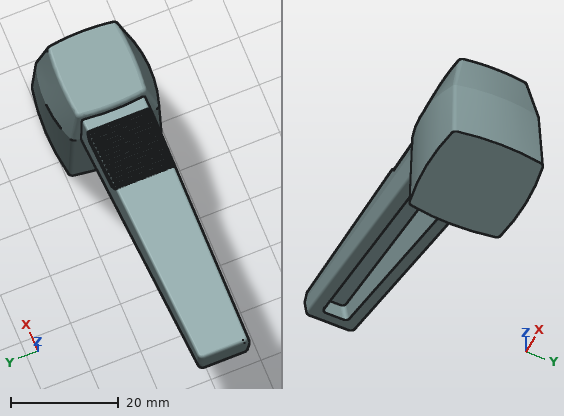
import cadquery as cq
import math

BASE_RING = {
    "left": -9.6, "left_mid": -10.5, "right": 9.6, "right_mid": 10.45,
    "side": 9.25, "side_mid": 10.26,
}
PARTING_RING = {
    "left": -9.4, "left_mid": -10.2, "right": 8.8, "right_mid": 10.0,
    "side": 8.7, "side_mid": 10.28,
}
TOP_RING = {
    "left": -7.6, "left_mid": -8.15, "right": 7.5, "right_mid": 8.05,
    "side": 6.9, "side_mid": 7.35,
}
PARTING_Z = 17.22
PARTING_SLOPE = -0.2525
TOP_Z = 26.2
TOP_SLOPE = -0.053
HUB_CORNER_RADIUS = 0.9
HUB_TOP_RADIUS = 0.8

TIP_X = -62.95
LEVER_END_X = -5.0
TIP_TOP_Z = 36.23
TIP_BOTTOM_Z = 30.15
LEVER_TOP_SLOPE = -0.195
LEVER_BOTTOM_SLOPE = -0.2887
TIP_HALF_WIDTH = 5.32
LEVER_WIDTH_SLOPE = 0.0335
LEVER_DRAFT = math.tan(math.radians(8))
TIP_CORNER_RADIUS = 1.0
LEVER_EDGE_RADIUS = 0.5

POCKET_START_X = -60.4
POCKET_END_X = -10.35
POCKET_ROOF = 2.3
POCKET_START_HALF_WIDTH = 2.6
POCKET_END_HALF_WIDTH = 3.9
POCKET_DRAFT = math.tan(math.radians(9))
POCKET_CORNER_RADIUS = 0.8

GRIP_START_X = -23.75
TOOTH_COUNT = 13
TOOTH_PITCH = 1.0
TOOTH_DEPTH = 0.5
TOOTH_RISE = 0.35
GRIP_SIDE_INSET = 0.25
GRIP_EDGE_RADIUS = 0.75
GRIP_SIDE_DEPTH = 1.9
GRIP_SIDE_RUN = 1.3
GRIP_END_X = GRIP_START_X + TOOTH_COUNT * TOOTH_PITCH

CLEARANCE = 1.0
CUT_HALF_WIDTH = 2 * TIP_HALF_WIDTH
EDGE_TOLERANCE = 0.12


def parting_z(x):
    return PARTING_Z + PARTING_SLOPE * x


def hub_top_z(x):
    return TOP_Z + TOP_SLOPE * x


def lever_top_z(x):
    return TIP_TOP_Z + LEVER_TOP_SLOPE * (x - TIP_X)


def lever_bottom_z(x):
    return TIP_BOTTOM_Z + LEVER_BOTTOM_SLOPE * (x - TIP_X)


def hub_ring(ring, height):
    """Closed wire of four arcs lying in the plane z = height(x)."""
    def point(x, y):
        return cq.Vector(x, y, height(x))

    left, right, side = ring["left"], ring["right"], ring["side"]
    corners = [point(left, -side), point(right, -side), point(right, side), point(left, side)]
    middle_x = (left + right) / 2
    middles = [
        point(middle_x, -ring["side_mid"]),
        point(ring["right_mid"], 0),
        point(middle_x, ring["side_mid"]),
        point(ring["left_mid"], 0),
    ]
    arcs = []
    for i in range(4):
        arcs.append(cq.Edge.makeThreePointArc(corners[i], middles[i], corners[(i + 1) % 4]))
    return cq.Wire.assembleEdges(arcs)


def make_hub():
    """Straight-ruled sides through the three rings, with a rounded top edge."""
    levels = [
        (BASE_RING, lambda x: 0),
        (PARTING_RING, parting_z),
        (TOP_RING, hub_top_z),
    ]
    rings = []
    for ring, height in levels:
        outline = hub_ring(ring, height)
        rings.append(outline.fillet2D(HUB_CORNER_RADIUS, outline.Vertices()))
    hub = cq.Workplane(cq.Solid.makeLoft(rings, True))
    return hub.faces(">Z").edges().fillet(HUB_TOP_RADIUS)


def section_loft(sections):
    """Solid with straight edges joining two sections of (x, y, z) points."""
    wires = [cq.Wire.makePolygon([cq.Vector(*p) for p in section], close=True) for section in sections]
    return cq.Workplane(cq.Solid.makeLoft(wires, True))


def lever_section(x, inset):
    """Hexagon at x, widest at the parting plane and drafted above and below it."""
    top, bottom, middle = lever_top_z(x), lever_bottom_z(x), parting_z(x)
    half = TIP_HALF_WIDTH + LEVER_WIDTH_SLOPE * (x - TIP_X) - inset
    half_top = half - LEVER_DRAFT * (top - middle)
    half_bottom = half - LEVER_DRAFT * (middle - bottom)
    return [
        (x, -half_bottom, bottom), (x, -half, middle), (x, -half_top, top),
        (x, half_top, top), (x, half, middle), (x, half_bottom, bottom),
    ]


def is_rim_edge(edge):
    """True for the edges around the top and bottom faces, leaving out the end inside the hub."""
    center = edge.Center()
    to_top = abs(center.z - lever_top_z(center.x))
    to_bottom = abs(center.z - lever_bottom_z(center.x))
    reaches_out = edge.BoundingBox().xmin < LEVER_END_X - EDGE_TOLERANCE
    return reaches_out and min(to_top, to_bottom) < EDGE_TOLERANCE


def make_lever(inset, edge_radius):
    """Rounded lever, with its sides moved in by the inset."""
    lever = section_loft([lever_section(TIP_X, inset), lever_section(LEVER_END_X, inset)])
    lever = lever.faces("<X").edges("not(|Y)").fillet(TIP_CORNER_RADIUS)
    rim = lever.edges().filter(is_rim_edge)
    return rim.fillet(edge_radius)


def pocket_section(x, half_width):
    """Trapezoid at x whose half-width is measured at the lever's underside."""
    top = lever_top_z(x) - POCKET_ROOF
    bottom = lever_bottom_z(x) - CLEARANCE
    half_top = half_width - POCKET_DRAFT * (top - lever_bottom_z(x))
    half_bottom = half_width + POCKET_DRAFT * CLEARANCE
    return [(x, -half_bottom, bottom), (x, -half_top, top), (x, half_top, top), (x, half_bottom, bottom)]


def make_pocket():
    start = pocket_section(POCKET_START_X, POCKET_START_HALF_WIDTH)
    end = pocket_section(POCKET_END_X, POCKET_END_HALF_WIDTH)
    pocket = section_loft([start, end])
    return pocket.faces("<X").edges("not(|Y)").fillet(POCKET_CORNER_RADIUS)


def extrude_across(points, half_length):
    """Prism of an XZ outline, centred on y = 0."""
    return cq.Workplane("XZ").polyline(points).close().extrude(half_length, both=True)


def make_grip_side_recess():
    """Thin trapezoidal recess on both flanks below the teeth."""
    inner_start = GRIP_START_X + GRIP_SIDE_RUN
    inner_end = GRIP_END_X - GRIP_SIDE_RUN
    outline = [
        (GRIP_START_X, lever_top_z(GRIP_START_X) + CLEARANCE),
        (GRIP_START_X, lever_top_z(GRIP_START_X) - TOOTH_DEPTH),
        (inner_start, lever_top_z(inner_start) - GRIP_SIDE_DEPTH),
        (inner_end, lever_top_z(inner_end) - GRIP_SIDE_DEPTH),
        (GRIP_END_X, lever_top_z(GRIP_END_X) - TOOTH_DEPTH),
        (GRIP_END_X, lever_top_z(GRIP_END_X) + CLEARANCE),
    ]
    return extrude_across(outline, CUT_HALF_WIDTH).cut(make_lever(GRIP_SIDE_INSET, GRIP_EDGE_RADIUS))


def make_tooth_gaps():
    """Everything above the sawtooth line of the grip."""
    outline = [(GRIP_START_X, lever_top_z(GRIP_START_X) + CLEARANCE)]
    for i in range(TOOTH_COUNT):
        root_x = GRIP_START_X + i * TOOTH_PITCH
        crest_x = root_x + TOOTH_RISE * TOOTH_PITCH
        outline.append((root_x, lever_top_z(root_x) - TOOTH_DEPTH))
        outline.append((crest_x, lever_top_z(crest_x)))
    outline.append((GRIP_END_X, lever_top_z(GRIP_END_X) - TOOTH_DEPTH))
    outline.append((GRIP_END_X, lever_top_z(GRIP_END_X) + CLEARANCE))
    return extrude_across(outline, CUT_HALF_WIDTH)


lever = make_lever(0, LEVER_EDGE_RADIUS).cut(make_pocket())
lever = lever.cut(make_grip_side_recess()).cut(make_tooth_gaps())
result = make_hub().union(lever)